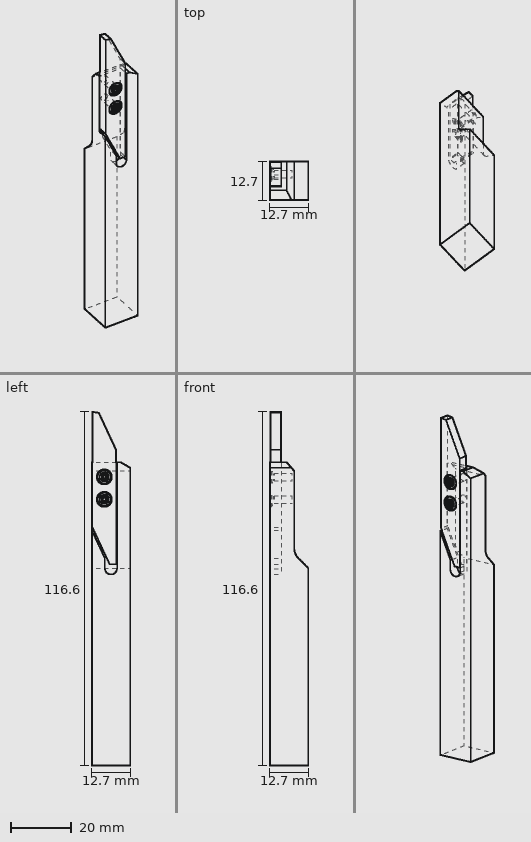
import cadquery as cq
import math

SHANK_WIDTH = 12.7
HOLDER_LENGTH = 100.0
NECK_WIDTH = 8.05
NECK_BEVEL_ANGLE = 48.5
NECK_BEVEL_WIDTH = 2.55
SHOULDER_Z = 65.1
SHOULDER_ANGLE = 45.0
SHOULDER_RADIUS = 4.7
FRONT_BEVEL_DEPTH = 3.2
FRONT_BEVEL_ANGLE = 30.0

BLADE_LENGTH = 50.3
BLADE_WIDTH = 7.8
BLADE_THICKNESS = 3.5
BLADE_TIP_WIDTH = 2.1
BLADE_TIP_ANGLE = 25.0
BLADE_TIP_RELIEF = 8.0
BLADE_OVERHANG = 16.6
BLADE_INSET_X = 0.2
BLADE_INSET_Y = 0.2

POCKET_CLEARANCE = 0.3
TAPER_CLEARANCE = 0.6
RELIEF_WIDTH = 4.0
RELIEF_END_Z = 63.0

SCREW_SPACING = 7.4
COUNTERSINK_RADIUS = 2.5
HEAD_RADIUS = 2.15
CROWN_RADIUS = 1.5
CROWN_HEIGHT = 0.3
STEM_RADIUS = 1.25
SCREW_LENGTH = 7.0
SOCKET_WIDTH = 1.8
SOCKET_DEPTH = 0.8
SOCKET_POINT_RADIUS = 0.5
SOCKET_POINT_DEPTH = 0.4


def rise(run, angle):
    """Height gained over a horizontal run at an angle in degrees."""
    return run * math.tan(math.radians(angle))


POCKET_DEPTH = BLADE_INSET_X + BLADE_THICKNESS
BLADE_TOP = HOLDER_LENGTH + BLADE_OVERHANG
BLADE_BOTTOM = BLADE_TOP - BLADE_LENGTH
BLADE_BACK = SHANK_WIDTH - BLADE_INSET_Y
BLADE_FRONT = BLADE_BACK - BLADE_WIDTH
BLADE_TAPER = (BLADE_WIDTH - BLADE_TIP_WIDTH) / math.tan(math.radians(BLADE_TIP_ANGLE))
POCKET_FRONT = BLADE_FRONT - POCKET_CLEARANCE
SCREW_Y = (BLADE_FRONT + BLADE_BACK) / 2
BLADE_MIDDLE = (BLADE_TOP + BLADE_BOTTOM) / 2
SCREW_HEIGHTS = [BLADE_MIDDLE + side * SCREW_SPACING / 2 for side in (-1, 1)]


def side_prism(points, start_x, depth):
    """Prism of a (y, z) outline, running along +X from start_x."""
    return cq.Workplane("YZ", origin=(start_x, 0, 0)).polyline(points).close().extrude(depth)


def make_holder_blank():
    """Shank, shoulder and neck as one profile, with the top bevelled towards -Y."""
    angle = math.radians(SHOULDER_ANGLE)
    bend_start_x = NECK_WIDTH + SHOULDER_RADIUS * (1 - math.cos(angle))
    bend_start_z = SHOULDER_Z + (SHANK_WIDTH - bend_start_x) / math.tan(angle)
    bend_end_z = bend_start_z + SHOULDER_RADIUS * math.sin(angle)
    bend_mid_x = NECK_WIDTH + SHOULDER_RADIUS * (1 - math.cos(angle / 2))
    bend_mid_z = bend_end_z - SHOULDER_RADIUS * math.sin(angle / 2)
    blank = (
        cq.Workplane("XZ")
        .lineTo(SHANK_WIDTH, 0)
        .lineTo(SHANK_WIDTH, SHOULDER_Z)
        .lineTo(bend_start_x, bend_start_z)
        .threePointArc((bend_mid_x, bend_mid_z), (NECK_WIDTH, bend_end_z))
        .lineTo(NECK_WIDTH, HOLDER_LENGTH - rise(NECK_BEVEL_WIDTH, NECK_BEVEL_ANGLE))
        .lineTo(NECK_WIDTH - NECK_BEVEL_WIDTH, HOLDER_LENGTH)
        .lineTo(0, HOLDER_LENGTH)
        .close()
        .extrude(-SHANK_WIDTH)
    )
    front_bevel = side_prism(
        [
            (0, HOLDER_LENGTH - rise(FRONT_BEVEL_DEPTH, FRONT_BEVEL_ANGLE)),
            (FRONT_BEVEL_DEPTH, HOLDER_LENGTH),
            (0, HOLDER_LENGTH),
        ],
        0,
        SHANK_WIDTH,
    )
    return blank.cut(front_bevel)


def make_blade_pocket():
    """Pocket open at the top and towards +Y, its lower end following the blade's taper."""
    slope = math.tan(math.radians(BLADE_TIP_ANGLE))
    wall_gap = TAPER_CLEARANCE / math.sin(math.radians(BLADE_TIP_ANGLE))
    low_y = BLADE_FRONT + BLADE_TIP_WIDTH
    low_z = BLADE_BOTTOM - wall_gap
    return side_prism(
        [
            (POCKET_FRONT, low_z),
            (low_y, low_z),
            (SHANK_WIDTH, low_z + (SHANK_WIDTH - low_y) / slope),
            (SHANK_WIDTH, HOLDER_LENGTH),
            (POCKET_FRONT, HOLDER_LENGTH),
        ],
        0,
        POCKET_DEPTH,
    )


def make_relief_slot():
    """Round-ended slot below the blade, in line with the pocket's -Y wall."""
    radius = RELIEF_WIDTH / 2
    middle_y = POCKET_FRONT + radius
    slot_back = POCKET_FRONT + RELIEF_WIDTH
    slot_top = BLADE_BOTTOM + RELIEF_WIDTH
    arc_z = RELIEF_END_Z + radius
    return (
        cq.Workplane("YZ")
        .moveTo(POCKET_FRONT, slot_top)
        .lineTo(POCKET_FRONT, arc_z)
        .threePointArc((middle_y, RELIEF_END_Z), (slot_back, arc_z))
        .lineTo(slot_back, slot_top)
        .close()
        .extrude(POCKET_DEPTH)
    )


def revolve_about_x(points, height):
    """Solid of revolution about a screw axis, from an (x, radius) outline starting at the blade face."""
    return (
        cq.Workplane("XY")
        .polyline(points)
        .close()
        .revolve(360, (0, 0, 0), (1, 0, 0))
        .translate((BLADE_INSET_X, SCREW_Y, height))
    )


def make_screw_hole(height):
    """90-degree countersink with a plain hole for the stem."""
    return revolve_about_x(
        [
            (0, 0),
            (0, COUNTERSINK_RADIUS),
            (COUNTERSINK_RADIUS - STEM_RADIUS, STEM_RADIUS),
            (SCREW_LENGTH, STEM_RADIUS),
            (SCREW_LENGTH, 0),
        ],
        height,
    )


def make_screw(height):
    """Screw seated in the countersink, its head slightly below the blade face."""
    rim_x = COUNTERSINK_RADIUS - HEAD_RADIUS
    crown_x = rim_x - CROWN_HEIGHT
    floor_x = crown_x + SOCKET_DEPTH
    screw = revolve_about_x(
        [
            (crown_x, 0),
            (crown_x, CROWN_RADIUS),
            (rim_x, HEAD_RADIUS),
            (COUNTERSINK_RADIUS - STEM_RADIUS, STEM_RADIUS),
            (SCREW_LENGTH, STEM_RADIUS),
            (SCREW_LENGTH, 0),
        ],
        height,
    )
    socket = (
        cq.Workplane("YZ", origin=(BLADE_INSET_X + crown_x, SCREW_Y, height))
        .polygon(6, SOCKET_WIDTH, circumscribed=True)
        .extrude(SOCKET_DEPTH)
    )
    socket_point = revolve_about_x(
        [(floor_x, 0), (floor_x, SOCKET_POINT_RADIUS), (floor_x + SOCKET_POINT_DEPTH, 0)],
        height,
    )
    return screw.cut(socket).cut(socket_point)


def make_holder():
    """Holder with the blade pocket, the relief slot and the screw holes."""
    holder = make_holder_blank().cut(make_blade_pocket()).cut(make_relief_slot())
    for height in SCREW_HEIGHTS:
        holder = holder.cut(make_screw_hole(height))
    return holder


def make_blade():
    """Blade tapered at both ends, with a countersunk hole for each screw."""
    tip_front_z = BLADE_TOP - rise(BLADE_TIP_WIDTH, BLADE_TIP_RELIEF)
    blade = side_prism(
        [
            (BLADE_FRONT, BLADE_BOTTOM),
            (BLADE_FRONT + BLADE_TIP_WIDTH, BLADE_BOTTOM),
            (BLADE_BACK, BLADE_BOTTOM + BLADE_TAPER),
            (BLADE_BACK, BLADE_TOP),
            (BLADE_BACK - BLADE_TIP_WIDTH, tip_front_z),
            (BLADE_FRONT, tip_front_z - BLADE_TAPER),
        ],
        BLADE_INSET_X,
        BLADE_THICKNESS,
    )
    for height in SCREW_HEIGHTS:
        blade = blade.cut(make_screw_hole(height))
    return blade


holder = make_holder()
blade = make_blade()
screws = [make_screw(height) for height in SCREW_HEIGHTS]
result = cq.Compound.makeCompound([holder.val(), blade.val(), *[screw.val() for screw in screws]])